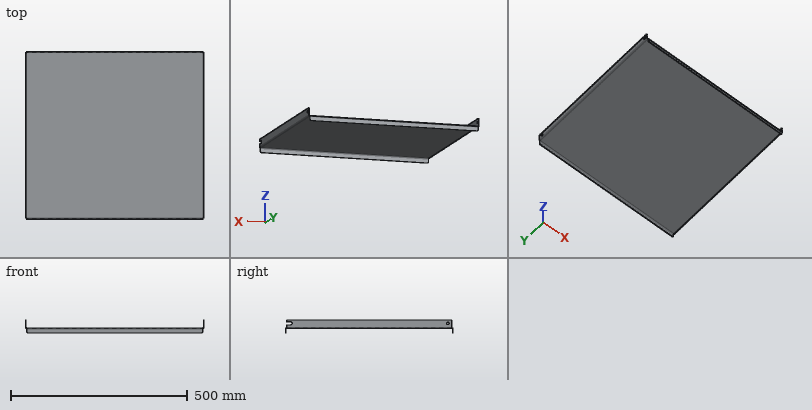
import cadquery as cq

length_x = 506.0
width_y = 475.0
height = 38.0

sheet = 2.0
inner_bend = 1.0
outer_bend = inner_bend + sheet
floor_top = 15.0
floor_bottom = floor_top - sheet

floor_half_x = length_x / 2 - outer_bend
floor_half_y = width_y / 2 - outer_bend

corner_radius = 4.5
hole_diameter = 6.5
slot_width = 8.0
hole_inset = 14.5
hole_drop = 10.0
hole_y = width_y / 2 - hole_inset
hole_z = height - hole_drop


def folded_edge(plane, start, surface_z, direction, end_z):
    """Profile of a quarter bend and its straight flange, in a vertical plane.

    The fold starts at the given horizontal distance and turns up (direction 1)
    or down (direction -1) from surface_z, the outer face of the bend.
    """
    diagonal = 0.5 ** 0.5
    center_z = surface_z + direction * outer_bend
    inner_z = surface_z + direction * sheet
    return (
        cq.Workplane(plane)
        .moveTo(start, surface_z)
        .threePointArc(
            (start + outer_bend * diagonal, center_z - direction * outer_bend * diagonal),
            (start + outer_bend, center_z),
        )
        .lineTo(start + outer_bend, end_z)
        .lineTo(start + inner_bend, end_z)
        .lineTo(start + inner_bend, center_z)
        .threePointArc(
            (start + inner_bend * diagonal, center_z - direction * inner_bend * diagonal),
            (start, inner_z),
        )
        .close()
    )


def side_flange():
    """Upturned +X flange with a hole near +Y and an open slot at -Y."""
    flange = folded_edge("XZ", floor_half_x, floor_bottom, 1, height)
    flange = flange.extrude(floor_half_y, both=True)
    flange = flange.edges("|X and >Z").fillet(corner_radius)
    cutters = cq.Workplane("YZ", origin=(floor_half_x, 0, 0))
    hole = cutters.center(hole_y, hole_z).circle(hole_diameter / 2).extrude(outer_bend)
    slot_end = cutters.center(-hole_y, hole_z).circle(slot_width / 2).extrude(outer_bend)
    slot_mouth = (
        cutters.center(-hole_y - hole_inset / 2, hole_z)
        .rect(hole_inset, slot_width)
        .extrude(outer_bend)
    )
    return flange.cut(hole).cut(slot_end).cut(slot_mouth)


def end_flange():
    """Downturned +Y flange with rounded lower corners."""
    flange = folded_edge("YZ", floor_half_y, floor_top, -1, 0)
    flange = flange.extrude(floor_half_x, both=True)
    return flange.edges("|Y and <Z").fillet(corner_radius)


floor = (
    cq.Workplane("XY", origin=(0, 0, floor_bottom))
    .rect(2 * floor_half_x, 2 * floor_half_y)
    .extrude(sheet)
)

side = side_flange()
end = end_flange()
result = floor.union(side).union(side.mirror("YZ")).union(end).union(end.mirror("XZ"))